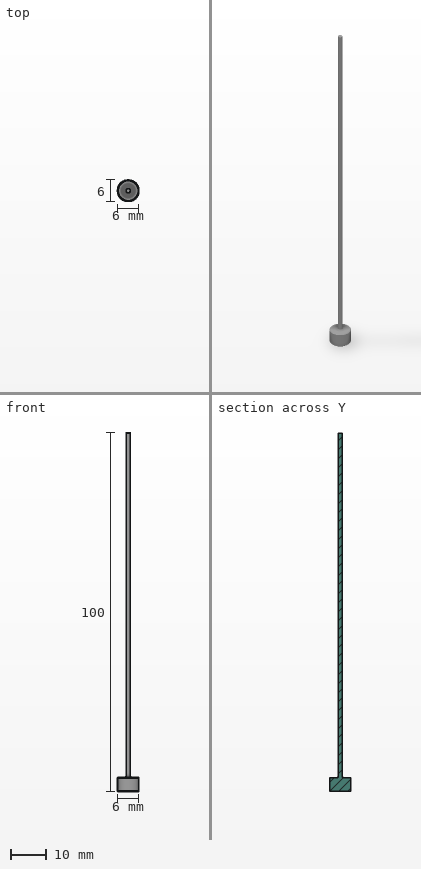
import cadquery as cq
import math

total_height = 100.0
head_diameter = 6.0
head_height = 4.0
head_chamfer = 0.2
rod_diameter = 1.2
foot_radius = 0.3

rod_radius = rod_diameter / 2

head = cq.Workplane("XY").circle(head_diameter / 2).extrude(head_height)
head = head.edges("%CIRCLE").chamfer(head_chamfer)

arc_offset = foot_radius * (1 - math.sqrt(0.5))
rod = (
    cq.Workplane("XZ")
    .lineTo(rod_radius + foot_radius, 0)
    .lineTo(rod_radius + foot_radius, head_height)
    .threePointArc(
        (rod_radius + arc_offset, head_height + arc_offset),
        (rod_radius, head_height + foot_radius),
    )
    .lineTo(rod_radius, total_height)
    .lineTo(0, total_height)
    .close()
    .revolve()
)

result = head.union(rod)